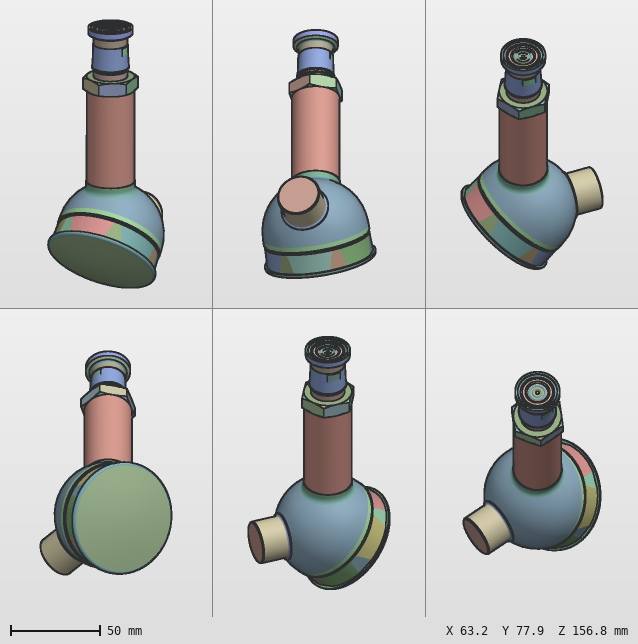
import cadquery as cq
import math

LID_TILT = 135.0
OUTLET_TILT = -90.0
TOP_Z = 122.5

ARC_BOW = 1 - math.sqrt(0.5)

BALL_RADIUS = 30.1
SKIRT_LENGTH = 3.1

BOSS_RADIUS = 13.8
BOSS_TOP_Z = 31.5
BOSS_FILLET_TOP_Z = 28.9

OUTLET_RADIUS = 12.1
OUTLET_END = 43.6
OUTLET_CHAMFER = 0.6
COLLAR_RADIUS = 13.5
COLLAR_END = 27.6
COLLAR_FILLET_LENGTH = 1.0

PLUG_RADIUS = 29.2
CUP_START = 4.2
CUP_TOP_RADIUS = 29.8
CUP_BASE_RADIUS = CUP_TOP_RADIUS + 0.4
CUP_EDGE_CHAMFER = 0.3
RIM_RADIUS = 63.2 / 2
RIM_START = 15.7
RIM_THICKNESS = 0.6
RIM_ROUND = 1.5
DOME_HEIGHT = 3.5
GRIP_FLAT_COUNT = 6
GRIP_FLAT_DISTANCE = CUP_TOP_RADIUS - 0.05

TUBE_RADIUS = 13.5
HEX_ACROSS_FLATS = 2 * TUBE_RADIUS
HEX_BOTTOM_Z = 85.7
HEX_TOP_Z = 93.5
HEX_CORNER_DROP = 0.8

NECK_RADIUS = 9.5
NECK_GROOVE_DEPTH = 0.5
NECK_GROOVE_BOTTOM_Z = 97.3
NECK_GROOVE_TOP_Z = 97.8
SLEEVE_TOP_RADIUS = 9.7
SLEEVE_BOTTOM_RADIUS = 10.4
SLEEVE_TOP_Z = 112.7
PAD_RADIUS = SLEEVE_TOP_RADIUS + 0.24
PAD_WIDTH = 7.8
PAD_TOP_Z = 112.2
LIP_RADIUS = 10.7
LIP_BOTTOM_Z = 99.0
LIP_THICKNESS = 0.3

FLANGE_RADIUS = 12.5
FLANGE_BOTTOM_Z = 119.0
FLANGE_CONE_RADIUS = 10.7
FLANGE_CONE_BOTTOM_Z = 117.9
FLANGE_FILLET = 1.0

RECESS_RADIUS = 11.1
RECESS_DEPTH = 1.0
GASKET_OUTER_RADIUS = 9.5
GASKET_INNER_RADIUS = 8.6
GASKET_DEPTH = 0.6

DIAPHRAGM_EDGE_RADIUS = 6.9
DIAPHRAGM_RADIUS = 6.0
DIAPHRAGM_DEPTH = 0.6
DIAPHRAGM_CENTRE_RADIUS = 1.0
WAVE_COUNT = 5
WAVE_HEIGHT = 0.3


def revolve_about_z(profile):
    """Turn a closed XZ profile, drawn as (radius, height), all the way about Z."""
    return profile.close().revolve(360, (0, 0, 0), (0, 1, 0))


def tilt(body, angle):
    """Turn a body built along Z about the X axis through the ball centre."""
    return body.rotate((0, 0, 0), (1, 0, 0), angle)


def make_ball():
    """Upper half ball and its straight skirt, open side facing the lid."""
    profile = (
        cq.Workplane("XZ")
        .moveTo(0, -BALL_RADIUS)
        .threePointArc(
            (BALL_RADIUS * math.sin(math.pi / 4), -BALL_RADIUS * math.cos(math.pi / 4)),
            (BALL_RADIUS, 0),
        )
        .lineTo(BALL_RADIUS, SKIRT_LENGTH)
        .lineTo(0, SKIRT_LENGTH)
    )
    return tilt(revolve_about_z(profile), LID_TILT)


def make_boss():
    """Tube seat on the ball, blended into it by a tangent fillet."""
    fillet = (BOSS_RADIUS**2 + BOSS_FILLET_TOP_Z**2 - BALL_RADIUS**2) / (2 * (BALL_RADIUS - BOSS_RADIUS))
    centre_radius = BOSS_RADIUS + fillet
    slope = math.atan2(BOSS_FILLET_TOP_Z, centre_radius)
    profile = (
        cq.Workplane("XZ")
        .moveTo(0, 0)
        .lineTo(0, BOSS_TOP_Z)
        .lineTo(BOSS_RADIUS, BOSS_TOP_Z)
        .lineTo(BOSS_RADIUS, BOSS_FILLET_TOP_Z)
        .threePointArc(
            (centre_radius - fillet * math.cos(slope / 2), BOSS_FILLET_TOP_Z - fillet * math.sin(slope / 2)),
            (BALL_RADIUS * math.cos(slope), BALL_RADIUS * math.sin(slope)),
        )
    )
    return revolve_about_z(profile)


def make_outlet():
    """Side outlet with a chamfered end and a collar at its root."""
    ball_contact = math.sqrt(BALL_RADIUS**2 - COLLAR_RADIUS**2)
    fillet_end = COLLAR_END + COLLAR_FILLET_LENGTH
    fillet_height = COLLAR_RADIUS - OUTLET_RADIUS
    profile = (
        cq.Workplane("XZ")
        .moveTo(0, 0)
        .lineTo(COLLAR_RADIUS, ball_contact)
        .lineTo(COLLAR_RADIUS, COLLAR_END)
        .threePointArc(
            (OUTLET_RADIUS + ARC_BOW * fillet_height, COLLAR_END + ARC_BOW * COLLAR_FILLET_LENGTH),
            (OUTLET_RADIUS, fillet_end),
        )
        .lineTo(OUTLET_RADIUS, OUTLET_END - OUTLET_CHAMFER)
        .lineTo(OUTLET_RADIUS - OUTLET_CHAMFER, OUTLET_END)
        .lineTo(0, OUTLET_END)
    )
    return tilt(revolve_about_z(profile), OUTLET_TILT)


def make_housing():
    return make_ball().union(make_boss()).union(make_outlet())


def make_lid():
    """Screw lid: plug, slightly conical cup with grip flats, rounded rim and shallow dome."""
    side_end = RIM_START + RIM_THICKNESS
    dome_base_radius = RIM_RADIUS - RIM_ROUND
    dome_base = side_end + RIM_ROUND
    dome_top = dome_base + DOME_HEIGHT
    dome_radius = (dome_base_radius**2 + DOME_HEIGHT**2) / (2 * DOME_HEIGHT)
    half_angle = math.asin(dome_base_radius / dome_radius) / 2
    profile = (
        cq.Workplane("XZ")
        .moveTo(0, SKIRT_LENGTH)
        .lineTo(PLUG_RADIUS, SKIRT_LENGTH)
        .lineTo(PLUG_RADIUS, CUP_START)
        .lineTo(CUP_TOP_RADIUS - CUP_EDGE_CHAMFER, CUP_START)
        .lineTo(CUP_TOP_RADIUS, CUP_START + CUP_EDGE_CHAMFER)
        .lineTo(CUP_BASE_RADIUS, RIM_START)
        .lineTo(RIM_RADIUS, RIM_START)
        .lineTo(RIM_RADIUS, side_end)
        .threePointArc(
            (RIM_RADIUS - ARC_BOW * RIM_ROUND, side_end + (1 - ARC_BOW) * RIM_ROUND),
            (dome_base_radius, dome_base),
        )
        .threePointArc(
            (dome_radius * math.sin(half_angle), dome_top - dome_radius * (1 - math.cos(half_angle))),
            (0, dome_top),
        )
    )
    lid = revolve_about_z(profile)

    flat_length = RIM_START - CUP_START
    cutter = cq.Workplane("XY").box(
        RIM_RADIUS, RIM_RADIUS / 2, flat_length, centered=(False, True, False)
    ).translate((GRIP_FLAT_DISTANCE, 0, CUP_START))
    for index in range(GRIP_FLAT_COUNT):
        lid = lid.cut(cutter.rotate((0, 0, 0), (0, 0, 1), index * 360 / GRIP_FLAT_COUNT))
    return tilt(lid, LID_TILT)


def make_tube():
    length = HEX_BOTTOM_Z - BOSS_TOP_Z
    return cq.Workplane("XY").workplane(offset=BOSS_TOP_Z).circle(TUBE_RADIUS).extrude(length)


def make_hexagon():
    """Hexagon with two corners on the Y axis and its corners chamfered at both ends."""
    corner_radius = HEX_ACROSS_FLATS / 2 / math.cos(math.pi / 6)
    prism = (
        cq.Workplane("XY")
        .workplane(offset=HEX_BOTTOM_Z)
        .polygon(6, 2 * corner_radius)
        .extrude(HEX_TOP_Z - HEX_BOTTOM_Z)
        .rotate((0, 0, 0), (0, 0, 1), 30)
    )
    envelope = (
        cq.Workplane("XZ")
        .moveTo(0, HEX_BOTTOM_Z)
        .lineTo(HEX_ACROSS_FLATS / 2, HEX_BOTTOM_Z)
        .lineTo(corner_radius, HEX_BOTTOM_Z + HEX_CORNER_DROP)
        .lineTo(corner_radius, HEX_TOP_Z - HEX_CORNER_DROP)
        .lineTo(HEX_ACROSS_FLATS / 2, HEX_TOP_Z)
        .lineTo(0, HEX_TOP_Z)
    )
    return prism.intersect(revolve_about_z(envelope))


def make_neck():
    """Grooved neck, thin lip and slightly conical sleeve with a thin pad facing -X and another +X."""
    groove_radius = NECK_RADIUS - NECK_GROOVE_DEPTH
    profile = (
        cq.Workplane("XZ")
        .moveTo(0, HEX_TOP_Z)
        .lineTo(NECK_RADIUS, HEX_TOP_Z)
        .lineTo(NECK_RADIUS, NECK_GROOVE_BOTTOM_Z)
        .lineTo(groove_radius, NECK_GROOVE_BOTTOM_Z)
        .lineTo(groove_radius, NECK_GROOVE_TOP_Z)
        .lineTo(NECK_RADIUS, NECK_GROOVE_TOP_Z)
        .lineTo(NECK_RADIUS, LIP_BOTTOM_Z)
        .lineTo(LIP_RADIUS, LIP_BOTTOM_Z)
        .lineTo(LIP_RADIUS, LIP_BOTTOM_Z + LIP_THICKNESS)
        .lineTo(SLEEVE_BOTTOM_RADIUS, LIP_BOTTOM_Z + LIP_THICKNESS)
        .lineTo(SLEEVE_TOP_RADIUS, SLEEVE_TOP_Z)
        .lineTo(0, SLEEVE_TOP_Z)
    )
    pad_bottom_z = LIP_BOTTOM_Z + LIP_THICKNESS
    pad_height = PAD_TOP_Z - pad_bottom_z
    pad_disc = cq.Workplane("XY").workplane(offset=pad_bottom_z).circle(PAD_RADIUS).extrude(pad_height)
    pad_strip = (
        cq.Workplane("XY")
        .workplane(offset=pad_bottom_z)
        .rect(2 * LIP_RADIUS, PAD_WIDTH)
        .extrude(pad_height)
    )
    return revolve_about_z(profile).union(pad_disc.intersect(pad_strip))


def make_clamp_flange():
    """Clamp flange whose recessed top face holds a gasket groove and a corrugated diaphragm."""
    recess_z = TOP_Z - RECESS_DEPTH
    diaphragm_z = recess_z - DIAPHRAGM_DEPTH
    fillet_width = FLANGE_CONE_RADIUS - NECK_RADIUS
    profile = (
        cq.Workplane("XZ")
        .moveTo(0, SLEEVE_TOP_Z)
        .lineTo(NECK_RADIUS, SLEEVE_TOP_Z)
        .lineTo(NECK_RADIUS, FLANGE_CONE_BOTTOM_Z - FLANGE_FILLET)
        .threePointArc(
            (NECK_RADIUS + ARC_BOW * fillet_width, FLANGE_CONE_BOTTOM_Z - ARC_BOW * FLANGE_FILLET),
            (FLANGE_CONE_RADIUS, FLANGE_CONE_BOTTOM_Z),
        )
        .lineTo(FLANGE_RADIUS, FLANGE_BOTTOM_Z)
        .lineTo(FLANGE_RADIUS, TOP_Z)
        .lineTo(RECESS_RADIUS, TOP_Z)
        .lineTo(RECESS_RADIUS, recess_z)
        .lineTo(GASKET_OUTER_RADIUS, recess_z)
        .threePointArc(
            ((GASKET_OUTER_RADIUS + GASKET_INNER_RADIUS) / 2, recess_z - GASKET_DEPTH),
            (GASKET_INNER_RADIUS, recess_z),
        )
        .lineTo(DIAPHRAGM_EDGE_RADIUS, recess_z)
        .lineTo(DIAPHRAGM_RADIUS, diaphragm_z)
    )
    wave_width = (DIAPHRAGM_RADIUS - DIAPHRAGM_CENTRE_RADIUS) / WAVE_COUNT
    for index in range(WAVE_COUNT):
        side = -1 if index % 2 == 0 else 1
        outer_radius = DIAPHRAGM_RADIUS - index * wave_width
        profile = profile.threePointArc(
            (outer_radius - wave_width / 2, diaphragm_z + side * WAVE_HEIGHT),
            (outer_radius - wave_width, diaphragm_z),
        )
    return revolve_about_z(profile.lineTo(0, diaphragm_z))


def make_stem():
    return make_tube().union(make_hexagon()).union(make_neck()).union(make_clamp_flange())


housing = make_housing()
lid = make_lid()
stem = make_stem()

result = cq.Compound.makeCompound([body.solids().val() for body in (housing, lid, stem)])